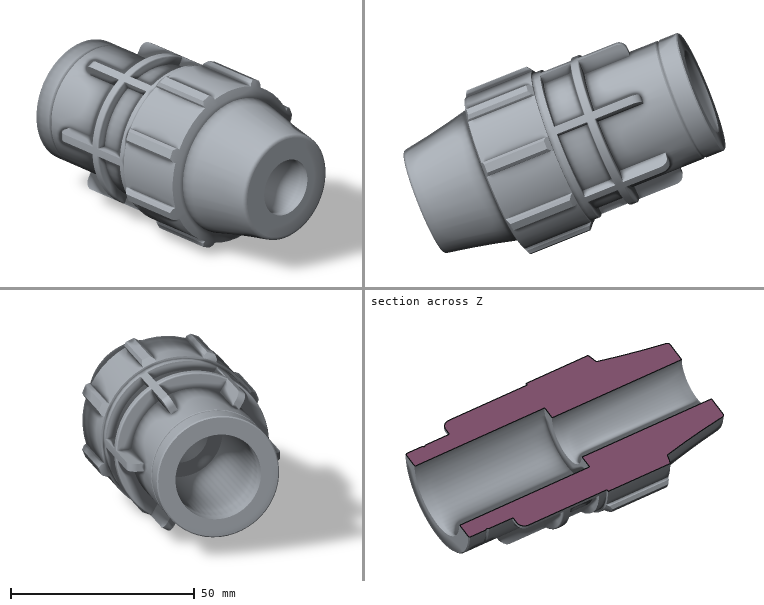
import cadquery as cq
import math

length = 82.0

body_radius = 34.5 / 2
body_end_chamfer = 0.3
groove_center = 5.8
groove_width = 1.0
groove_depth = 0.4

hub_radius = 19.0
collar_radius = 43.2 / 2
ring_start = 27.3
ring_end = 29.8
ring_edge_radius = 0.4
flange_start = 38.6

fin_count = 6
fin_width = 2.2
fin_start = 13.85
fin_corner_radius = 2.5

nut_start = 41.0
nut_end = 60.7
shoulder_start = 59.95
nut_radius = 22.3
bar_count = 8
bar_top_radius = 23.95
bar_top_width = 2.5
bar_width = 3.9
bar_flank_radius = 23.0
bar_front_bevel = 1.3

nose_start = 61.5
nose_start_radius = 19.3
nose_end_radius = 15.1
nose_sag = 0.25
nose_edge_radius = 0.9

pipe_bore_diameter = 24.1
pipe_bore_depth = nut_start
through_bore_diameter = 16.0


def cylinder(start, end, radius):
    """Solid cylinder around the X axis."""
    return cq.Workplane("YZ").workplane(offset=start).circle(radius).extrude(end - start)


def make_body():
    body = cylinder(0, ring_end, body_radius).faces("<X").chamfer(body_end_chamfer)
    groove = (
        cq.Workplane("XY")
        .moveTo(groove_center - groove_width / 2, body_radius)
        .lineTo(groove_center, body_radius - groove_depth)
        .lineTo(groove_center + groove_width / 2, body_radius)
        .close()
        .revolve(360, (0, 0, 0), (1, 0, 0))
    )
    return body.cut(groove)


def make_collars():
    ring = cylinder(ring_start, ring_end, collar_radius).edges().fillet(ring_edge_radius)
    hub = cylinder(ring_start, nut_start, hub_radius)
    flange = cylinder(flange_start, nut_start, collar_radius)
    return hub.union(ring).union(flange)


def around_axis(feature, count, first_angle):
    """Evenly spaced copies of a feature around the X axis."""
    step = 360 / count
    copies = cq.Workplane("XY")
    for index in range(count):
        copies = copies.add(feature.rotate((0, 0, 0), (1, 0, 0), first_angle + index * step))
    return copies.combine()


def make_fins():
    """Radial slabs cut from a disc whose front rim is rounded, flush with the ring and flange."""
    disc = cylinder(fin_start, nut_start, collar_radius).faces("<X").edges().fillet(fin_corner_radius)
    slab = cq.Workplane("XY").box(
        nut_start - fin_start, 2 * collar_radius, fin_width, centered=(False, False, True)
    )
    slabs = around_axis(slab.translate((fin_start, 0, 0)), fin_count, 0)
    return disc.intersect(slabs)


def make_nut_envelope():
    """Turned shape that bounds the bars: bevelled in front, rounded shoulder at the back."""
    rim_radius = math.hypot(bar_top_radius, bar_top_width / 2)
    return (
        cq.Workplane("XY")
        .moveTo(nut_start, 0)
        .lineTo(nut_start, nut_radius)
        .lineTo(nut_start + bar_front_bevel, rim_radius)
        .lineTo(shoulder_start, rim_radius)
        .threePointArc((nut_end, nut_radius), (nose_start, nose_start_radius))
        .lineTo(nose_start, 0)
        .close()
        .revolve(360, (0, 0, 0), (1, 0, 0))
    )


def make_grip_bar():
    """One bar on the +Y side: upright flanks with bevelled top corners."""
    return (
        cq.Workplane("YZ")
        .workplane(offset=nut_start)
        .moveTo(0, -bar_width / 2)
        .lineTo(bar_flank_radius, -bar_width / 2)
        .lineTo(bar_top_radius, -bar_top_width / 2)
        .lineTo(bar_top_radius, bar_top_width / 2)
        .lineTo(bar_flank_radius, bar_width / 2)
        .lineTo(0, bar_width / 2)
        .close()
        .extrude(nose_start - nut_start)
    )


def make_nut():
    bars = around_axis(make_grip_bar(), bar_count, 180 / bar_count)
    blank = cylinder(nut_start, nose_start, nut_radius).union(bars)
    return blank.intersect(make_nut_envelope())


def make_nose():
    middle = (nose_start + length) / 2
    middle_radius = (nose_start_radius + nose_end_radius) / 2 - nose_sag
    nose = (
        cq.Workplane("XY")
        .moveTo(nose_start, 0)
        .lineTo(nose_start, nose_start_radius)
        .threePointArc((middle, middle_radius), (length, nose_end_radius))
        .lineTo(length, 0)
        .close()
        .revolve(360, (0, 0, 0), (1, 0, 0))
    )
    return nose.faces(">X").edges().fillet(nose_edge_radius)


pipe_bore = cylinder(0, pipe_bore_depth, pipe_bore_diameter / 2)
through_bore = cylinder(0, length, through_bore_diameter / 2)

result = make_body().union(make_collars()).union(make_fins())
result = result.union(make_nut()).union(make_nose())
result = result.cut(pipe_bore).cut(through_bore)